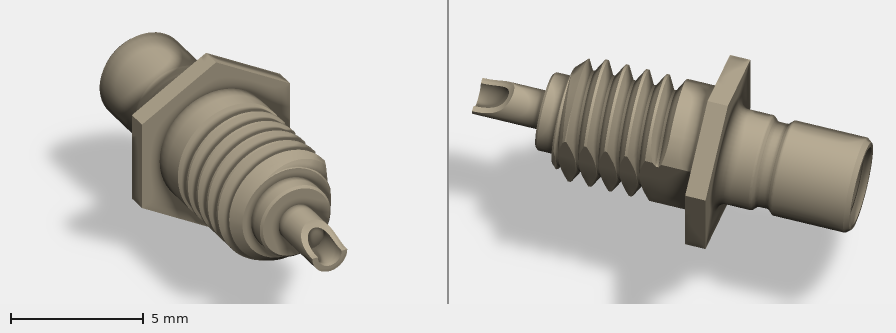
import cadquery as cq
import math

length = 15.01
hex_across_flats = 6.35
hex_across_corners = hex_across_flats / math.cos(math.pi / 6)

sleeve_radius = 1.85
rim_chamfer_length = 0.2
rim_outer_radius = 1.7
groove_start = 3.02
groove_end = 3.85
groove_edge_fillet = 0.12
groove_depth = 0.2
root_fillet = 0.38

recess_radius = 1.52
recess_depth = 0.27
lip_outer_radius = 1.38
lip_inner_radius = 1.17
bore_radius = 1.05
bore_depth = 4.2
lip_chamfer = recess_radius - lip_outer_radius
mouth_chamfer = lip_inner_radius - bore_radius

socket_pin_radius = 0.27
socket_pin_start = 1.0
socket_pin_tip_radius = 0.05
socket_pin_taper = 0.23

flange_start = 5.21
flange_end = 6.0

thread_radius = 2.42
barrel_end = 11.59
pitch = 0.8
thread_depth = 0.51
thread_half_angle = math.radians(30)
thread_start = 7.54
thread_start_angle = 24.0
thread_runout = 1.5
thread_root_radius = thread_radius - thread_depth
thread_root_width = pitch / 8
end_chamfer = 0.53
barrel_flat = 1.92

insulator_radius = 1.52
insulator_end = 12.35
insulator_chamfer = 0.09
solder_pin_radius = 0.75
cup_radius = 0.51
cup_depth = 1.43
scoop_start = 13.6
scoop_radius = 1.65


def cylinder(start, end, radius):
    """Cylinder about the X axis between two stations."""
    return cq.Workplane("YZ", origin=(start, 0, 0)).circle(radius).extrude(end - start)


def make_sleeve():
    middle_start = groove_start + groove_depth
    middle_end = groove_end - groove_depth
    groove_radius = sleeve_radius - groove_depth
    sleeve = (
        cq.Workplane("XY")
        .moveTo(0, 0)
        .lineTo(0, rim_outer_radius)
        .lineTo(rim_chamfer_length, sleeve_radius)
        .lineTo(groove_start, sleeve_radius)
        .lineTo(middle_start, groove_radius)
        .lineTo(middle_end, groove_radius)
        .lineTo(groove_end, sleeve_radius)
        .lineTo(flange_start - root_fillet, sleeve_radius)
        .radiusArc((flange_start, sleeve_radius + root_fillet), -root_fillet)
        .lineTo(flange_start, 0)
        .close()
        .revolve(360, (0, 0, 0), (1, 0, 0))
    )
    edge_margin = 0.02
    groove_edges = cq.selectors.BoxSelector(
        (groove_start - edge_margin, -length, -length),
        (groove_end + edge_margin, length, length),
    )
    return sleeve.edges("%CIRCLE").edges(groove_edges).fillet(groove_edge_fillet)


def make_flange():
    return (
        cq.Workplane("YZ", origin=(flange_start, 0, 0))
        .transformed(rotate=(0, 0, 90))
        .polygon(6, hex_across_corners)
        .extrude(flange_end - flange_start)
    )


def make_socket():
    return (
        cq.Workplane("XY")
        .moveTo(0, 0)
        .lineTo(0, recess_radius)
        .lineTo(recess_depth + lip_chamfer, recess_radius)
        .lineTo(recess_depth, lip_outer_radius)
        .lineTo(recess_depth, lip_inner_radius)
        .lineTo(recess_depth + mouth_chamfer, bore_radius)
        .lineTo(bore_depth, bore_radius)
        .lineTo(bore_depth, 0)
        .close()
        .revolve(360, (0, 0, 0), (1, 0, 0))
    )


def make_socket_pin():
    return (
        cq.Workplane("XY")
        .moveTo(socket_pin_start, 0)
        .lineTo(socket_pin_start, socket_pin_tip_radius)
        .lineTo(socket_pin_start + socket_pin_taper, socket_pin_radius)
        .lineTo(bore_depth, socket_pin_radius)
        .lineTo(bore_depth, 0)
        .close()
        .revolve(360, (0, 0, 0), (1, 0, 0))
    )


def make_thread_groove():
    """Right-handed V groove along X with a tangential runout at its inner end."""
    overcut = 0.08
    outer_radius = thread_radius + overcut
    root_half = thread_root_width / 2
    outer_half = root_half + (thread_depth + overcut) * math.tan(thread_half_angle)
    sweep_length = barrel_end + pitch - thread_start
    helix = cq.Wire.makeHelix(pitch, sweep_length, thread_root_radius)
    profile = (
        cq.Workplane("XZ")
        .polyline([
            (thread_root_radius, -root_half),
            (outer_radius, -outer_half),
            (outer_radius, outer_half),
            (thread_root_radius, root_half),
        ])
        .close()
    )
    groove = profile.sweep(cq.Workplane(obj=helix), isFrenet=True)
    lead_drop = thread_runout * pitch / (2 * math.pi * thread_root_radius)
    runout = cq.Solid.extrudeLinear(
        profile.wires().val(), [], cq.Vector(0, -thread_runout, -lead_drop)
    )
    groove = groove.union(cq.Workplane(obj=runout))
    return (
        groove.rotate((0, 0, 0), (0, 1, 0), 90)
        .rotate((0, 0, 0), (1, 0, 0), 180 - thread_start_angle)
        .translate((thread_start, 0, 0))
    )


def make_barrel():
    barrel = cylinder(flange_end, barrel_end, thread_radius).cut(make_thread_groove())
    envelope = cylinder(flange_end, barrel_end, thread_radius).faces(">X").chamfer(end_chamfer)
    barrel = barrel.intersect(envelope)
    barrel_length = barrel_end - flange_end
    flat_cut = cq.Workplane("XY").box(
        barrel_length, thread_radius, 2 * thread_radius, centered=(False, False, True)
    )
    return barrel.cut(flat_cut.translate((flange_end, barrel_flat, 0)))


def make_insulator():
    return cylinder(barrel_end, insulator_end, insulator_radius).faces(">X").chamfer(insulator_chamfer)


def make_solder_cup():
    pin = cylinder(insulator_end, length, solder_pin_radius)
    cup = cylinder(length - cup_depth, length, cup_radius)
    scoop = (
        cq.Workplane("XZ")
        .moveTo(scoop_start, solder_pin_radius)
        .radiusArc((length, 0), -scoop_radius)
        .lineTo(length, solder_pin_radius)
        .close()
        .extrude(solder_pin_radius, both=True)
    )
    return pin.cut(cup).cut(scoop)


result = (
    make_sleeve()
    .cut(make_socket())
    .union(make_socket_pin())
    .union(make_flange())
    .union(make_barrel())
    .union(make_insulator())
    .union(make_solder_cup())
)